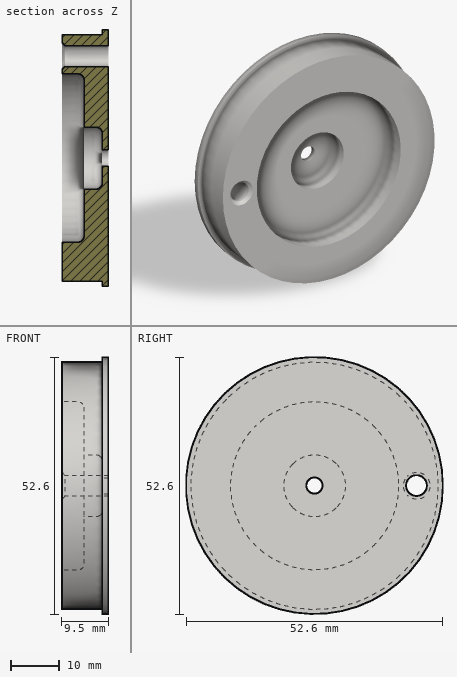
import cadquery as cq

total_depth = 9.5
flange_diameter = 52.6
flange_thickness = 1.25
body_diameter = 50.6

pocket_diameter = 34.4
pocket_depth = 4.5
inner_pocket_diameter = 12.6
inner_pocket_depth = 3.75
floor_fillet = 1.25
center_hole_diameter = 3.25

side_hole_diameter = 4.2
side_hole_offset = 20.9
side_hole_chamfer = 0.65


def cylinder(diameter, start, length):
    """Cylinder along +X, centered on the cap axis and starting at X = start."""
    return cq.Workplane("YZ", origin=(start, 0, 0)).circle(diameter / 2).extrude(length)


def pocket_cutter(diameter, start, depth):
    """Round pocket whose floor meets its wall in a fillet."""
    return cylinder(diameter, start, depth).faces(">X").edges().fillet(floor_fillet)


def side_hole_cutter():
    """Through hole toward +Y, widened by a cone at the recessed face."""
    mouth_diameter = side_hole_diameter + 2 * side_hole_chamfer
    hole = cylinder(side_hole_diameter, 0, total_depth)
    mouth = cylinder(mouth_diameter, 0, 2 * side_hole_chamfer)
    mouth = mouth.faces(">X").edges().chamfer(side_hole_chamfer)
    mouth = mouth.translate((-side_hole_chamfer, 0, 0))
    return hole.union(mouth).translate((0, side_hole_offset, 0))


body = cylinder(body_diameter, 0, total_depth)
flange = cylinder(flange_diameter, total_depth - flange_thickness, flange_thickness)

result = (
    body.union(flange)
    .cut(pocket_cutter(pocket_diameter, 0, pocket_depth))
    .cut(pocket_cutter(inner_pocket_diameter, pocket_depth, inner_pocket_depth))
    .cut(cylinder(center_hole_diameter, 0, total_depth))
    .cut(side_hole_cutter())
)